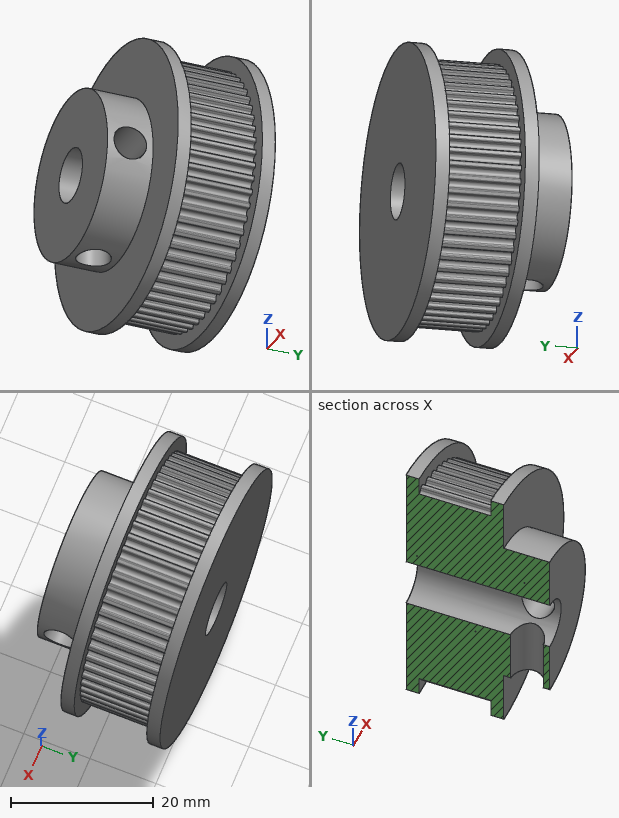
import cadquery as cq
import math

overall_length = 22.0
flange_diameter = 42.0
flange_width = 2.0
hub_diameter = 25.0
hub_length = 7.0
bore_diameter = 8.0
set_screw_diameter = 5.0

rim_diameter = 37.67
rim_length = overall_length - hub_length - 2 * flange_width
tooth_count = 60
groove_depth = 0.75
root_radius = 0.55
flank_radius = 1.0
flank_center_offset = 0.4
lip_radius = 0.15

rim_start = hub_length + flange_width
rear_flange_start = rim_start + rim_length


def disc(diameter, start, length):
    """Cylinder on the Y axis from y = start to y = start + length."""
    plane = cq.Workplane("XZ", origin=(0, start, 0))
    return plane.circle(diameter / 2).extrude(-length)


def toward(start, end, distance):
    """Point at a given distance from start, in the direction of end."""
    share = distance / math.dist(start, end)
    return (start[0] + share * (end[0] - start[0]), start[1] + share * (end[1] - start[1]))


def arc_middle(center, radius, start, end):
    """Middle of the shorter arc between two points on a circle."""
    chord_middle = ((start[0] + end[0]) / 2, (start[1] + end[1]) / 2)
    return toward(center, chord_middle, radius)


def mirrored(point):
    """Matching point on the other side of the groove's centre line."""
    return (-point[0], point[1])


def belt_groove():
    """Cutter for one groove at the top of the rim: root arc, tangent flank arcs and rounded lips."""
    root_center = (0, root_radius - groove_depth)
    flank_rise = math.sqrt((flank_radius - root_radius) ** 2 - flank_center_offset**2)
    flank_center = (-flank_center_offset, root_center[1] + flank_rise)
    lip_drop = flank_center[1] + lip_radius
    lip_reach = math.sqrt((flank_radius + lip_radius) ** 2 - lip_drop**2)
    lip_center = (flank_center[0] + lip_reach, -lip_radius)

    lip_top = (lip_center[0], 0)
    lip_end = toward(flank_center, lip_center, flank_radius)
    flank_end = toward(flank_center, root_center, flank_radius)
    root = (0, -groove_depth)
    lip_middle = arc_middle(lip_center, lip_radius, lip_top, lip_end)
    flank_middle = arc_middle(flank_center, flank_radius, lip_end, flank_end)

    mouth_height = math.sqrt((rim_diameter / 2) ** 2 - lip_top[0] ** 2)
    cutter_top = (lip_top[0], groove_depth)
    return (
        cq.Workplane("XZ", origin=(0, rim_start, mouth_height))
        .moveTo(*cutter_top)
        .lineTo(*lip_top)
        .threePointArc(lip_middle, lip_end)
        .threePointArc(flank_middle, flank_end)
        .threePointArc(root, mirrored(flank_end))
        .threePointArc(mirrored(flank_middle), mirrored(lip_end))
        .threePointArc(mirrored(lip_middle), mirrored(lip_top))
        .lineTo(*mirrored(cutter_top))
        .close()
        .extrude(-rim_length)
    )


def toothed_rim():
    """Rim with a groove centred on each of the X and Z axes and evenly spaced between them."""
    groove = belt_groove().val()
    pitch_angle = 360 / tooth_count
    grooves = [
        groove.rotate(cq.Vector(0, 0, 0), cq.Vector(0, 1, 0), index * pitch_angle)
        for index in range(tooth_count)
    ]
    rim = disc(rim_diameter, rim_start, rim_length).val()
    return cq.Workplane(rim.cut(*grooves))


def set_screw_hole(plane_name, direction):
    """Radial hole halfway along the hub, from the bore's axis out through the hub."""
    plane = cq.Workplane(plane_name, origin=(0, hub_length / 2, 0))
    return plane.circle(set_screw_diameter / 2).extrude(direction * hub_diameter / 2)


hub = disc(hub_diameter, 0, hub_length)
front_flange = disc(flange_diameter, hub_length, flange_width)
rear_flange = disc(flange_diameter, rear_flange_start, flange_width)
body = hub.union(front_flange).union(toothed_rim()).union(rear_flange)

result = (
    body.cut(disc(bore_diameter, 0, overall_length))
    .cut(set_screw_hole("YZ", 1))
    .cut(set_screw_hole("XY", -1))
)